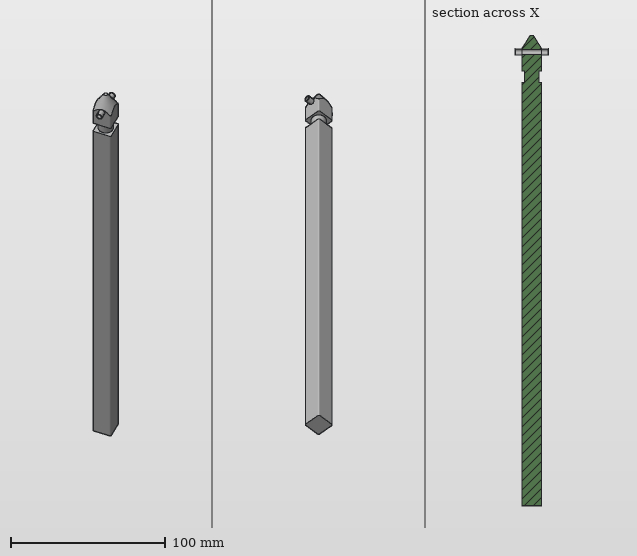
import cadquery as cq

total_height = 304.8
bar_width = 12.8
edge_radius = 1.0

tip_radius = 1.2
cone_slope = 1.6

neck_diameter = 10.0
head_height = 23.2
neck_height = 7.3

pin_length = 21.5
pin_diameter = 4.3
pin_bore = 3.0
pin_drop = 10.7

neck_top = total_height - head_height
neck_bottom = neck_top - neck_height
pin_height = total_height - pin_drop


def rounded_bar():
    """Square bar with its four long edges rounded."""
    bar = cq.Workplane("XY").rect(bar_width, bar_width).extrude(total_height)
    return bar.edges("|Z").fillet(edge_radius)


def turned_envelope():
    """Solid of revolution that gives the bar its conical tip and round neck."""
    outer_radius = bar_width
    neck_radius = neck_diameter / 2
    cone_base = total_height - cone_slope * (outer_radius - tip_radius)
    return (
        cq.Workplane("XZ")
        .moveTo(0, 0)
        .lineTo(outer_radius, 0)
        .lineTo(outer_radius, neck_bottom)
        .lineTo(neck_radius, neck_bottom)
        .lineTo(neck_radius, neck_top)
        .lineTo(outer_radius, neck_top)
        .lineTo(outer_radius, cone_base)
        .lineTo(tip_radius, total_height)
        .lineTo(0, total_height)
        .close()
        .revolve(360, (0, 0, 0), (0, 1, 0))
    )


def cross_cylinder(diameter):
    """Cylinder along Y, centred on the pin axis and as long as the pin."""
    return (
        cq.Workplane("XZ")
        .center(0, pin_height)
        .circle(diameter / 2)
        .extrude(pin_length / 2, both=True)
    )


body = rounded_bar().intersect(turned_envelope())
result = body.union(cross_cylinder(pin_diameter)).cut(cross_cylinder(pin_bore))